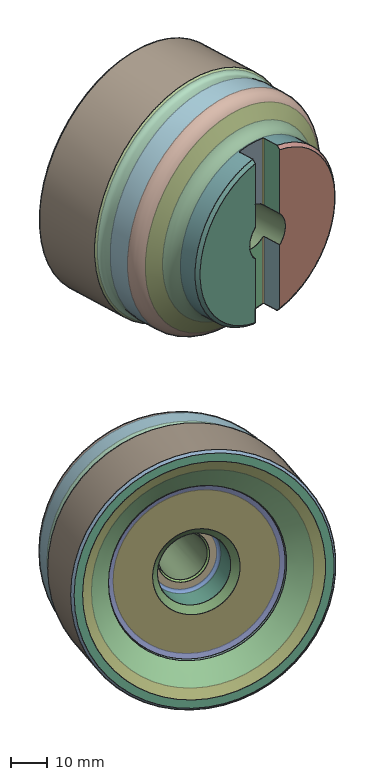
import cadquery as cq
import math

length = 50.8
rim_radius = 38.05
rim_edge_chamfer = 0.75

rim_end = 21.8
rim_back_chamfer = 0.5
groove_radius = 36.45
groove_entry_run = 0.8
groove_bottom_run = 2.1
groove_entry_rise = 0.15
collar_start = 26.5

collar_radius = 73.6 / 2
collar_end = 33.1
shoulder_fillet = 5.0
shoulder_angle = math.radians(60)
hub_radius = 55.0 / 2
hub_chamfer = 1.0

slot_width = 9.6
slot_depth = 6.25
slot_corner_fillet = 0.4

dish_outer_radius = 34.85
dish_knee_radius = 31.9
dish_knee_depth = 1.4
dish_inner_radius = 25.6
dish_inner_depth = 5.9
lip_radius = 25.35
lip_depth = 6.6
floor_radius = 23.9
floor_depth = 7.1

bore_radius = 21.0 / 2
bore_chamfer = 2.05
bore_depth = 19.0
bore_fillet = 0.9
hole_radius = 14.0 / 2
hole_chamfer = 0.5


def turned_body():
    """Revolve the whole section, written as (x, radius), around X."""
    arc_run = shoulder_fillet * math.sin(shoulder_angle)
    arc_drop = shoulder_fillet * (1 - math.cos(shoulder_angle))
    cone_drop = collar_radius - hub_radius - 2 * arc_drop
    cone_start = collar_end + arc_run
    cone_end = cone_start + cone_drop / math.tan(shoulder_angle)
    hub_start = cone_end + arc_run

    half_run = shoulder_fillet * math.sin(shoulder_angle / 2)
    half_drop = shoulder_fillet * (1 - math.cos(shoulder_angle / 2))
    diagonal = math.sqrt(0.5)
    bore_fillet_offset = bore_fillet * (1 - diagonal)
    groove_start = rim_end + rim_back_chamfer
    groove_curve = [
        (groove_start + groove_entry_run, groove_radius + groove_entry_rise),
        (groove_start + groove_bottom_run, groove_radius),
        (collar_start, collar_radius),
    ]

    outside = (
        cq.Workplane("XY")
        .moveTo(0, dish_outer_radius)
        .lineTo(0, rim_radius - rim_edge_chamfer)
        .lineTo(rim_edge_chamfer, rim_radius)
        .lineTo(rim_end, rim_radius)
        .lineTo(groove_start, rim_radius - rim_back_chamfer)
        .spline(groove_curve, includeCurrent=True)
        .lineTo(collar_end, collar_radius)
        .threePointArc(
            (collar_end + half_run, collar_radius - half_drop),
            (cone_start, collar_radius - arc_drop),
        )
        .lineTo(cone_end, hub_radius + arc_drop)
        .threePointArc((hub_start - half_run, hub_radius + half_drop), (hub_start, hub_radius))
        .lineTo(length - hub_chamfer, hub_radius)
        .lineTo(length, hub_radius - hub_chamfer)
    )
    section = (
        outside
        .lineTo(length, hole_radius)
        .lineTo(bore_depth + hole_chamfer, hole_radius)
        .lineTo(bore_depth, hole_radius + hole_chamfer)
        .lineTo(bore_depth, bore_radius - bore_fillet)
        .threePointArc(
            (bore_depth - bore_fillet_offset, bore_radius - bore_fillet_offset),
            (bore_depth - bore_fillet, bore_radius),
        )
        .lineTo(floor_depth + bore_chamfer, bore_radius)
        .lineTo(floor_depth, bore_radius + bore_chamfer)
        .lineTo(floor_depth, floor_radius)
        .lineTo(lip_depth, lip_radius)
        .lineTo(dish_inner_depth, dish_inner_radius)
        .lineTo(dish_knee_depth, dish_knee_radius)
        .close()
    )
    return section.revolve(360, (0, 0, 0), (1, 0, 0))


def cross_slot():
    """Slot cutter running through the hub along Z, with rounded floor corners."""
    return (
        cq.Workplane("XY")
        .box(2 * slot_depth, slot_width, 2 * rim_radius)
        .edges("|Z and <X")
        .fillet(slot_corner_fillet)
        .translate((length, 0, 0))
    )


result = turned_body().cut(cross_slot())